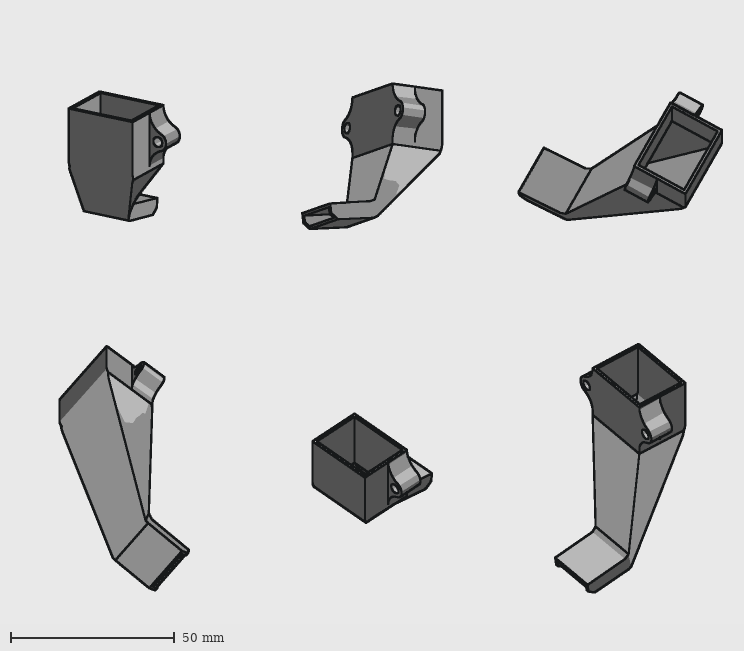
import cadquery as cq
import math

wall = 1.0
box_width = 23.0
box_depth = 18.0
box_height = 19.0
outer_bend_radius = 5.0
inner_bend_radius = 3.0

nozzle_shift = 15.0
nozzle_width = 16.0
bend_inset_left = 0.4
bend_inset_right = 0.7

bend_in_top = (33.75, -41.1)
bend_in_bottom = (33.0, -46.35)
bend_out_top = (35.5, -41.9)
bend_out_bottom = (34.0, -46.9)
tip_top = (50.1, -44.4)
tip_lower = (49.7, -47.4)
tip_bottom = (47.35, -49.05)

ear_offset = 2.9
ear_drop = 9.0
ear_radius = 3.0
ear_thickness = 8.0
hole_diameter = 3.2
ear_foot = 17.3


def shifted(point, toward, distance):
    """Move a (Y, Z) point by a distance toward another point."""
    length = math.dist(point, toward)
    return tuple(p + (t - p) * distance / length for p, t in zip(point, toward))


def section(top, bottom, top_x, bottom_x, inset):
    """Four-sided cross-section, its walls moved inward by the inset."""
    top_in = shifted(top, bottom, inset)
    bottom_in = shifted(bottom, top, inset)
    corners = [
        (top_x[0] + inset, *top_in),
        (top_x[1] - inset, *top_in),
        (bottom_x[1] - inset, *bottom_in),
        (bottom_x[0] + inset, *bottom_in),
    ]
    return cq.Wire.makePolygon([cq.Vector(*c) for c in corners], close=True)


def loft(first, second):
    return cq.Workplane(obj=cq.Solid.makeLoft([first, second], True))


def nozzle(inset):
    """Straight nozzle; the inset version runs out through the open tip."""
    top_in = shifted(bend_out_top, bend_out_bottom, inset)
    bottom_in = shifted(bend_out_bottom, bend_out_top, inset)
    if inset:
        end = [shifted(tip_top, tip_lower, inset), tip_lower, shifted(tip_bottom, tip_lower, inset)]
    else:
        end = [tip_top, tip_lower, tip_bottom]
    return (
        cq.Workplane("YZ", origin=(inset - nozzle_shift, 0, 0))
        .polyline([top_in, *end, bottom_in])
        .close()
        .extrude(nozzle_width - 2 * inset)
    )


def duct(inset):
    """Box, slanted duct, bend and nozzle as one body."""
    box = cq.Workplane("XY").box(
        box_width - 2 * inset, box_depth - 2 * inset, box_height, centered=False
    ).translate((inset, inset, -box_height))
    box_x = (0, box_width)
    nozzle_x = (-nozzle_shift, nozzle_width - nozzle_shift)
    bend_x = (nozzle_x[0] + bend_inset_left, nozzle_x[1] + bend_inset_right)
    inlet = section((box_depth, -box_height), (0, -box_height), box_x, box_x, inset)
    bend_in = section(bend_in_top, bend_in_bottom, bend_x, nozzle_x, inset)
    bend_out = section(bend_out_top, bend_out_bottom, nozzle_x, nozzle_x, inset)
    body = box.union(loft(inlet, bend_in)).union(loft(bend_in, bend_out)).union(nozzle(inset))
    return body.cut(front_corner(inset))


def front_corner(inset):
    """Material outside the rounded corner between box front and duct underside."""
    radius = inner_bend_radius if inset else outer_bend_radius
    corner = (inset, -box_height)
    slope_end = shifted(bend_in_bottom, bend_in_top, inset)
    slope = math.atan2(corner[1] - slope_end[1], slope_end[0] - corner[0])
    turn = math.pi / 2 - slope
    tangent = radius * math.tan(turn / 2)
    start = (corner[0], corner[1] + tangent)
    end = shifted(corner, slope_end, tangent)
    middle = (
        start[0] + radius * (1 - math.cos(turn / 2)),
        start[1] - radius * math.sin(turn / 2),
    )
    return (
        cq.Workplane("YZ", origin=(-nozzle_shift, 0, 0))
        .moveTo(*start)
        .threePointArc(middle, end)
        .lineTo(*corner)
        .close()
        .extrude(nozzle_shift + box_width)
    )


def flank(height):
    """Radius and ear tangent point of the arc touching the box wall at a height above the ear axis."""
    radius = (ear_offset**2 + height**2 - ear_radius**2) / (2 * (ear_offset + ear_radius))
    share = radius / (radius + ear_radius)
    return radius, (radius + (ear_offset - radius) * share, height * (1 - share))


def flank_middle(height):
    """Point halfway along the flank arc."""
    radius, (x, z) = flank(height)
    half_angle = math.atan2(height - z, radius - x) / 2
    return radius * (1 - math.cos(half_angle)), height - radius * math.sin(half_angle)


def ear():
    """Ear on the right wall, with its concave flanks and hole."""
    upper = ear_drop
    lower = ear_foot - ear_drop
    upper_x, upper_z = flank(upper)[1]
    lower_x, lower_z = flank(lower)[1]
    upper_middle = flank_middle(upper)
    lower_middle = flank_middle(lower)
    return (
        cq.Workplane("XZ", origin=(box_width, box_depth, -ear_drop))
        .moveTo(-wall, upper)
        .lineTo(0, upper)
        .threePointArc(upper_middle, (upper_x, upper_z))
        .threePointArc((ear_offset + ear_radius, 0), (lower_x, -lower_z))
        .threePointArc((lower_middle[0], -lower_middle[1]), (0, -lower))
        .lineTo(-wall, -lower)
        .close()
        .moveTo(ear_offset, 0)
        .circle(hole_diameter / 2)
        .extrude(ear_thickness)
    )


right_ear = ear()
left_ear = right_ear.mirror("YZ", (box_width / 2, 0, 0))
result = duct(0).union(right_ear).union(left_ear).cut(duct(wall))